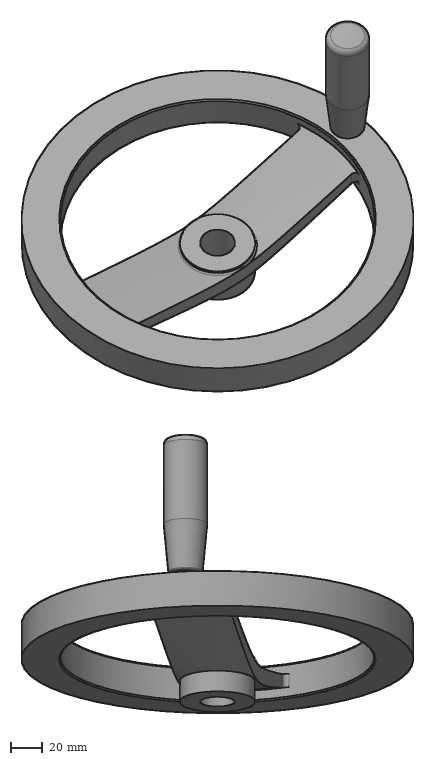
import cadquery as cq
import math

RIM_OUTER_R = 125.0
RIM_INNER_R = 100.0
RIM_HEIGHT = 23.0
RIM_CHAMFER = 1.0

HUB_R = 24.0
HUB_HEIGHT = 28.0
BORE_R = 11.0
RIM_BOTTOM_Z = HUB_HEIGHT
RIM_TOP_Z = RIM_BOTTOM_Z + RIM_HEIGHT

SPOKE_WIDTH = 50.0
WEB_TOP_Z = 25.2
WEB_TOP_ANGLE = 14.0
WEB_BOTTOM_Z = 13.7
WEB_BOTTOM_ANGLE = 15.8
SPOKE_RIM_FILLET = 3.0
HUB_WEB_FILLET = 1.0
WEB_OVERLAP = 5.0

HANDLE_R = 14.0
HANDLE_Y = 112.5
HANDLE_LENGTH = 90.0
HANDLE_TAPER_LENGTH = 32.5
HANDLE_BASE_R = 11.0
HANDLE_BASE_FILLET = 1.0
HANDLE_TOP_FILLET = 4.0
DOME_RISE = 2.0
NECK_R = 6.5
NECK_LENGTH = 2.5


def make_rim():
    """Flat ring with both inner edges chamfered."""
    ring = (
        cq.Workplane("XY", origin=(0, 0, RIM_BOTTOM_Z))
        .circle(RIM_OUTER_R)
        .circle(RIM_INNER_R)
        .extrude(RIM_HEIGHT)
    )
    inner_edges = cq.selectors.RadiusNthSelector(0)
    return ring.edges(inner_edges).chamfer(RIM_CHAMFER)


def make_spokes():
    """Two opposite spokes, cut from one dished web and running slightly into the rim."""
    outer_r = RIM_INNER_R + WEB_OVERLAP
    run = outer_r - HUB_R
    top_rise = run * math.tan(math.radians(WEB_TOP_ANGLE))
    bottom_rise = run * math.tan(math.radians(WEB_BOTTOM_ANGLE))
    web = (
        cq.Workplane("YZ")
        .moveTo(0, WEB_BOTTOM_Z)
        .lineTo(HUB_R, WEB_BOTTOM_Z)
        .lineTo(outer_r, WEB_BOTTOM_Z + bottom_rise)
        .lineTo(outer_r, WEB_TOP_Z + top_rise)
        .lineTo(HUB_R, WEB_TOP_Z)
        .lineTo(0, WEB_TOP_Z)
        .close()
        .revolve(360, (0, 0, 0), (0, 1, 0))
    )

    band = cq.Workplane("XY").rect(SPOKE_WIDTH, 2 * outer_r).extrude(RIM_TOP_Z)
    return web.intersect(band)


def round_spoke_corners(wheel):
    """Fillet the four upright corners where the spoke sides meet the rim."""
    half_width = SPOKE_WIDTH / 2
    corner_y = math.sqrt(RIM_INNER_R**2 - half_width**2)
    corner_z = (WEB_TOP_Z + WEB_BOTTOM_Z) / 2 + (RIM_INNER_R - HUB_R) * math.tan(
        math.radians((WEB_TOP_ANGLE + WEB_BOTTOM_ANGLE) / 2)
    )
    for x in (-half_width, half_width):
        for y in (-corner_y, corner_y):
            corner = cq.selectors.NearestToPointSelector((x, y, corner_z))
            wheel = wheel.edges("|Z").edges(corner).fillet(SPOKE_RIM_FILLET)
    return wheel


def make_hub():
    """Plain cylinder with a concave fillet running down onto the top cone of the web."""
    hub = cq.Workplane("XY").circle(HUB_R).extrude(HUB_HEIGHT)
    slope = math.radians(WEB_TOP_ANGLE)
    center_r = HUB_R + HUB_WEB_FILLET
    center_z = WEB_TOP_Z + HUB_WEB_FILLET * (math.tan(slope) + 1 / math.cos(slope))
    tangent_r = center_r + HUB_WEB_FILLET * math.sin(slope)
    tangent_z = center_z - HUB_WEB_FILLET * math.cos(slope)
    middle = (math.pi + 3 * math.pi / 2 + slope) / 2
    middle_r = center_r + HUB_WEB_FILLET * math.cos(middle)
    middle_z = center_z + HUB_WEB_FILLET * math.sin(middle)
    root = (
        cq.Workplane("YZ")
        .moveTo(0, center_z)
        .lineTo(HUB_R, center_z)
        .threePointArc((middle_r, middle_z), (tangent_r, tangent_z))
        .lineTo(HUB_R, WEB_TOP_Z)
        .lineTo(0, WEB_TOP_Z)
        .close()
        .revolve(360, (0, 0, 0), (0, 1, 0))
    )
    return hub.union(root)


def make_handle():
    """Turned grip with a tapered base and domed top, on a short neck."""
    base_z = RIM_TOP_Z + NECK_LENGTH
    top_z = base_z + HANDLE_LENGTH
    shoulder_z = top_z - DOME_RISE
    dome_r = (HANDLE_R**2 + DOME_RISE**2) / (2 * DOME_RISE)
    half_r = HANDLE_R / 2
    dome_middle_z = top_z - dome_r + math.sqrt(dome_r**2 - half_r**2)
    grip = (
        cq.Workplane("YZ", origin=(0, HANDLE_Y, 0))
        .moveTo(0, base_z)
        .lineTo(HANDLE_BASE_R, base_z)
        .lineTo(HANDLE_R, base_z + HANDLE_TAPER_LENGTH)
        .lineTo(HANDLE_R, shoulder_z)
        .threePointArc((half_r, dome_middle_z), (0, top_z))
        .close()
        .revolve(360, (0, 0, 0), (0, 1, 0))
    )
    shoulder = cq.selectors.NearestToPointSelector((0, HANDLE_Y, shoulder_z))
    grip = grip.edges("%CIRCLE").edges(shoulder).fillet(HANDLE_TOP_FILLET)
    grip = grip.faces("<Z").edges().fillet(HANDLE_BASE_FILLET)
    neck = (
        cq.Workplane("XY", origin=(0, HANDLE_Y, RIM_TOP_Z))
        .circle(NECK_R)
        .extrude(NECK_LENGTH)
    )
    return grip.union(neck)


bore = cq.Workplane("XY").circle(BORE_R).extrude(HUB_HEIGHT)
wheel = round_spoke_corners(make_rim().union(make_spokes()))
wheel = wheel.union(make_hub()).cut(bore)
result = wheel.union(make_handle())